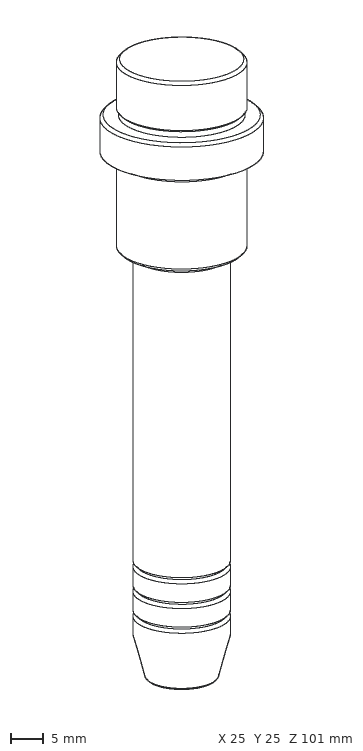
import cadquery as cq
import math

total_length = 101.0
body_bottom = 70.0
flange_bottom = 86.0
flange_height = 6.0
neck_height = 0.7

flange_radius = 12.5
body_radius = 10.0
shaft_radius = 7.5
neck_depth = 0.3
edge_chamfer = 0.5

relief_radius = 0.5

groove_depth = 0.5
first_groove_height = 10.5
groove_pitch = 4.0
groove_count = 3

taper_height = 7.1
taper_angle = math.radians(15)
tip_chamfer = 0.3


def cylinder(radius, bottom, top):
    """Cylinder on the Z axis between two heights."""
    return cq.Workplane("XY").workplane(offset=bottom).circle(radius).extrude(top - bottom)


def revolve_about_axis(profile):
    """Full turn of a closed radius-height profile about the Z axis."""
    return profile.close().revolve(360, (0, 0, 0), (0, 1, 0))


def make_shaft():
    """Plain shaft with a conical guide tip, reaching up to the body."""
    taper_end_radius = shaft_radius - (taper_height - tip_chamfer) * math.tan(taper_angle)
    return revolve_about_axis(
        cq.Workplane("XZ")
        .lineTo(taper_end_radius - tip_chamfer, 0)
        .lineTo(taper_end_radius, tip_chamfer)
        .lineTo(shaft_radius, taper_height)
        .lineTo(shaft_radius, body_bottom)
        .lineTo(0, body_bottom)
    )


def make_groove(center):
    """V-section ring to cut from the shaft, centered at the given height."""
    return revolve_about_axis(
        cq.Workplane("XZ")
        .moveTo(shaft_radius, center - groove_depth)
        .lineTo(shaft_radius - groove_depth, center)
        .lineTo(shaft_radius, center + groove_depth)
    )


def make_relief():
    """Half-round ring to cut from the shaft directly under the body."""
    center = body_bottom - relief_radius
    return revolve_about_axis(
        cq.Workplane("XZ")
        .moveTo(shaft_radius, center - relief_radius)
        .threePointArc((shaft_radius - relief_radius, center), (shaft_radius, body_bottom))
    )


def make_head():
    """Body, flange and top spigot, joined by a slightly thinner neck on each side of the flange."""
    flange_top = flange_bottom + flange_height
    body_top = flange_bottom - neck_height
    spigot_bottom = flange_top + neck_height
    body = cylinder(body_radius, body_bottom, body_top).edges().chamfer(edge_chamfer)
    flange = cylinder(flange_radius, flange_bottom, flange_top).faces(">Z").edges().chamfer(edge_chamfer)
    spigot = cylinder(body_radius, spigot_bottom, total_length).edges().chamfer(edge_chamfer)
    neck = cylinder(body_radius - neck_depth, body_top - edge_chamfer, spigot_bottom + edge_chamfer)
    return body.union(flange).union(spigot).union(neck)


shaft = make_shaft()
for index in range(groove_count):
    shaft = shaft.cut(make_groove(first_groove_height + index * groove_pitch))
shaft = shaft.cut(make_relief())

result = shaft.union(make_head())